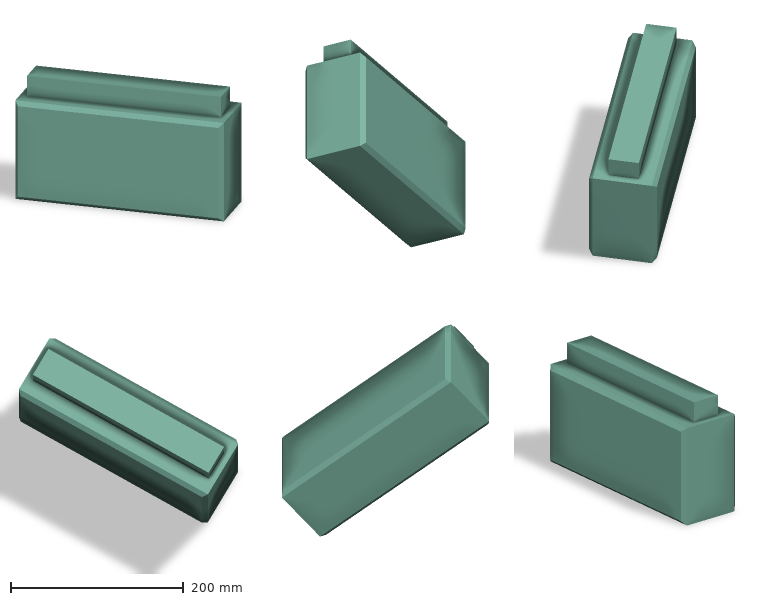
import cadquery as cq

length = 253.0
depth = 80.0
total_height = 147.0

bar_length = 235.3
bar_depth = 36.0
bar_height = 25.0

bevel = 5.0

body_height = total_height - bar_height

body = (
    cq.Workplane("XY")
    .box(length, depth, body_height, centered=(True, True, False))
    .faces("<Y or >Y")
    .edges()
    .chamfer(bevel)
)

bar = (
    cq.Workplane("XY")
    .workplane(offset=body_height)
    .box(bar_length, bar_depth, bar_height, centered=(True, True, False))
)

result = body.union(bar)